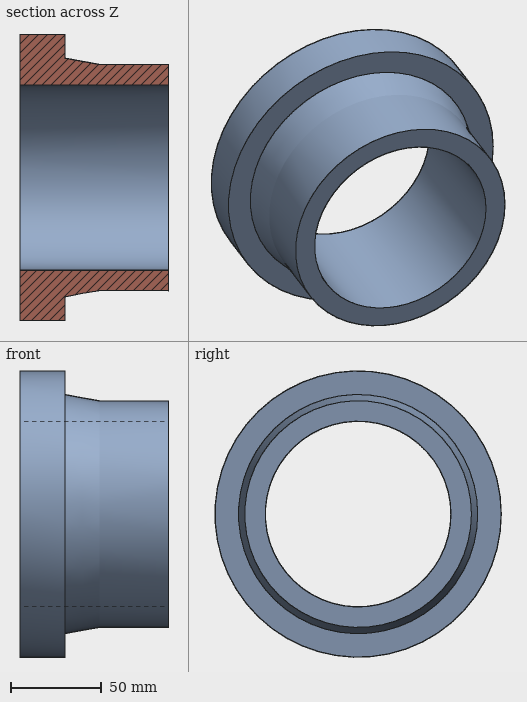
import cadquery as cq

total_length = 82.0
flange_diameter = 158.0
flange_thickness = 25.0
taper_length = 19.1
taper_base_diameter = 132.0
pipe_diameter = 125.0
bore_diameter = 102.2

taper_end = flange_thickness + taper_length

half_section = (
    cq.Workplane("XY")
    .moveTo(0, bore_diameter / 2)
    .lineTo(0, flange_diameter / 2)
    .lineTo(flange_thickness, flange_diameter / 2)
    .lineTo(flange_thickness, taper_base_diameter / 2)
    .lineTo(taper_end, pipe_diameter / 2)
    .lineTo(total_length, pipe_diameter / 2)
    .lineTo(total_length, bore_diameter / 2)
    .close()
)

result = half_section.revolve(360, (0, 0, 0), (1, 0, 0))